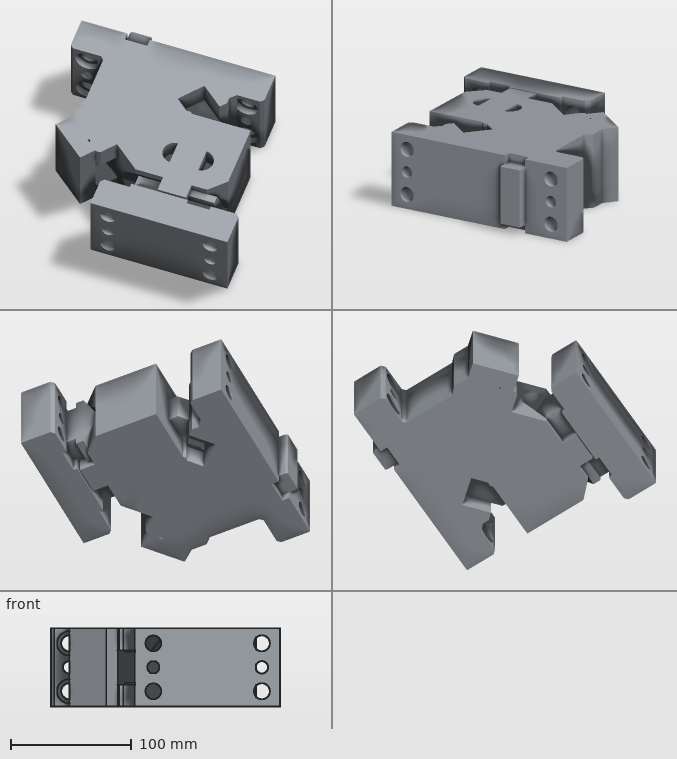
import cadquery as cq
import math

DEPTH = 65.0
TOTAL_X = 190.0
TOTAL_Y = 182.5

SLIDE_ANGLE = math.radians(50)
SLIDE_FOOT_X = 70.3
SLIDE_FOOT_Y = 64.5

HOLE_INSET = 15.2
BOLT_SPACING = 39.7
BOLT_HOLE = 13.1
DOWEL_HOLE = 10.0

BASE_LENGTH = 120.3
BASE_LEFT = TOTAL_X - BASE_LENGTH
BASE_LOW_TOP = 26.6
BASE_TOP = 30.0
BASE_CHAMFER = 2.8
BLIND_BOLT_DEPTH = 22.8

RAIL_LEFT = 94.8
RAIL_RIGHT = 165.0
RAIL_SEAT_LEFT = 144.8
RAIL_NECK = 39.5
RAIL_HEAD = 52.0
RAIL_RIDGE = 8.4
HEAD_BOTTOM = 38.8
HEAD_SHOULDER = 45.5
RIDGE_TOP = 57.0

SLIDER_RIGHT = 169.9
SLIDER_BACK = 114.5
SLIDER_FRONT = 45.2
SLIDER_CHAMFER = 13.7
SLIDER_PEAK = 116.3
SLIDER_END = 69.4
TAB_LEFT = 117.5
TAB_RIGHT = 142.5
TAB_BOTTOM = 31.7

GROOVE_NECK = 41.0
GROOVE_HEAD = 53.5
GROOVE_RIDGE = 10.3
GROOVE_SHOULDER = 45.0
GROOVE_ROOF = 58.9

POCKET_RADIUS = 10.3
POCKET_Y = 72.0
POCKET_CENTRE_INSET = 0.8
POCKET_DEPTH = 15.2

TONGUE_HEAD = 28.5
TONGUE_NECK = 25.5
TONGUE_HEAD_START = 11.5
TONGUE_DEPTH = 19.8
SLOT_CLEARANCE = 5.7

HOLDER_RIGHT = 170.2
HOLDER_BACK = 174.6
FLANGE_FRONT = 145.2
FLANGE_CHAMFER = 2.8
HOLDER_WAIST = 30.4
HOLDER_FOOT = 24.7
FOOT_TOP = 91.4
FOOT_BOTTOM = 77.7
WEB_RIGHT = 142.0
WEB_CHAMFER = 5.1
WEB_BOTTOM = 134.3
WEB_OVERHANG = 9.7
COUNTERBORE = 20.1
COUNTERBORE_DEPTH = 5.7

SLIDE_START = -16.0
STEP_ALONG = -18.5
GUIDE_END = 67.0
STOP_START = 74.9
STOP_END = 92.7
FOOT_END = -33.5
WEAR_FACE_DEPTH = 3.8
FOOT_DEPTH = 43.5
STEP_DEPTH = 2.0
NOTCH_DEPTH = 15.0
STOP_RIGHT = 145.0
STOP_CORNER_Y = 122.7
STOP_WIDTH = 25.5

KEY_LEFT = 40.3
KEY_RIGHT = 60.0
KEY_FRONT = 168.2
KEY_WIDTH = 50.2
KEY_CHAMFER_X = 0.8
KEY_CHAMFER_Y = 2.5

RELIEF = [(45.0, 61.4), (48.0, 61.4), (48.0, 58.5)]


def slide_point(along, depth):
    """XY point at a distance along the sliding plane and a depth into the holder."""
    c, s = math.cos(SLIDE_ANGLE), math.sin(SLIDE_ANGLE)
    return (SLIDE_FOOT_X + along * c - depth * s, SLIDE_FOOT_Y + along * s + depth * c)


def end_x_at(along, y):
    """X where the line square to the sliding plane at this distance reaches height y."""
    x0, y0 = slide_point(along, 0)
    return x0 - (y - y0) * math.tan(SLIDE_ANGLE)


def slide_x_at(y):
    """X of the sliding plane at height y."""
    return SLIDE_FOOT_X + (y - SLIDE_FOOT_Y) / math.tan(SLIDE_ANGLE)


def slab(outline, width=DEPTH):
    """XY outline extruded symmetrically about Z = 0."""
    return cq.Workplane("XY").polyline(outline).close().extrude(width / 2, both=True)


def guide_block(start, end, shallow, deep, width):
    """Block aligned with the sliding plane, between two depths into the holder."""
    corners = [(start, shallow), (end, shallow), (end, deep), (start, deep)]
    return slab([slide_point(along, depth) for along, depth in corners], width)


def rail_profile(bottom, neck, lip, head, shoulder, ridge, top, left, right):
    """T rail with a roof-shaped head, along X from left to right."""
    half = [(bottom, neck / 2), (lip, neck / 2), (lip, head / 2), (shoulder, head / 2), (top, ridge / 2)]
    outline = half + [(y, -z) for y, z in reversed(half)]
    return cq.Workplane("YZ", origin=(left, 0, 0)).polyline(outline).close().extrude(right - left)


def bore(x, z, diameter, start, length):
    """Cylinder along +Y."""
    plane = cq.Plane(origin=(x, start, z), xDir=(1, 0, 0), normal=(0, 1, 0))
    return cq.Workplane(plane).circle(diameter / 2).extrude(length)


def make_base():
    plate = slab([
        (BASE_LEFT, 0),
        (TOTAL_X, 0),
        (TOTAL_X, BASE_TOP - BASE_CHAMFER),
        (TOTAL_X - BASE_CHAMFER, BASE_TOP),
        (RAIL_RIGHT, BASE_TOP),
        (RAIL_RIGHT, BASE_LOW_TOP),
        (RAIL_SEAT_LEFT, BASE_LOW_TOP),
        (RAIL_SEAT_LEFT, BASE_TOP),
        (RAIL_LEFT, BASE_TOP),
        (RAIL_LEFT, BASE_LOW_TOP),
        (BASE_LEFT + BASE_CHAMFER, BASE_LOW_TOP),
        (BASE_LEFT, BASE_LOW_TOP - BASE_CHAMFER),
    ])
    rail = rail_profile(BASE_LOW_TOP, RAIL_NECK, HEAD_BOTTOM, RAIL_HEAD, HEAD_SHOULDER,
                        RAIL_RIDGE, RIDGE_TOP, RAIL_LEFT, RAIL_RIGHT)
    for side in (-1, 1):
        trim = cq.Workplane("XY").box(TAB_LEFT - RAIL_LEFT, RIDGE_TOP - HEAD_BOTTOM, DEPTH,
                                      centered=(False, False, True))
        rail = rail.cut(trim.translate((RAIL_LEFT, HEAD_BOTTOM, side * (RAIL_NECK + DEPTH) / 2)))
    base = plate.union(rail)

    left_row = BASE_LEFT + HOLE_INSET
    right_row = TOTAL_X - HOLE_INSET
    for x in (left_row, right_row):
        base = base.cut(bore(x, 0, DOWEL_HOLE, 0, BASE_TOP))
        base = base.cut(bore(x, BOLT_SPACING / 2, BOLT_HOLE, 0, BASE_TOP))
    base = base.cut(bore(right_row, -BOLT_SPACING / 2, BOLT_HOLE, 0, BASE_TOP))
    return base.cut(bore(left_row, -BOLT_SPACING / 2, BOLT_HOLE, 0, BLIND_BOLT_DEPTH))


def make_slider():
    body = slab([
        slide_point(0, 0),
        (slide_x_at(SLIDER_PEAK), SLIDER_PEAK),
        (end_x_at(SLIDER_END, SLIDER_PEAK), SLIDER_PEAK),
        (end_x_at(SLIDER_END, SLIDER_BACK), SLIDER_BACK),
        (SLIDER_RIGHT, SLIDER_BACK),
        (SLIDER_RIGHT, SLIDER_FRONT + SLIDER_CHAMFER),
        (SLIDER_RIGHT - SLIDER_CHAMFER, SLIDER_FRONT),
        (TAB_RIGHT, SLIDER_FRONT),
        (TAB_RIGHT, TAB_BOTTOM),
        (TAB_LEFT, TAB_BOTTOM),
        (TAB_LEFT, SLIDER_FRONT),
        (end_x_at(0, SLIDER_FRONT), SLIDER_FRONT),
    ])
    groove = rail_profile(TAB_BOTTOM, GROOVE_NECK, HEAD_BOTTOM, GROOVE_HEAD, GROOVE_SHOULDER,
                          GROOVE_RIDGE, GROOVE_ROOF, 0, TOTAL_X)
    body = body.cut(groove)

    pocket_centres = (TAB_LEFT + POCKET_CENTRE_INSET, TAB_RIGHT - POCKET_CENTRE_INSET)
    bar = cq.Workplane("XY").box(TAB_RIGHT - TAB_LEFT, TOTAL_Y, DEPTH, centered=(False, False, True))
    bar = bar.translate((TAB_LEFT, 0, 0))
    for x in pocket_centres:
        pocket = (cq.Workplane("XY", origin=(x, POCKET_Y, DEPTH / 2 - POCKET_DEPTH))
                  .circle(POCKET_RADIUS).extrude(POCKET_DEPTH))
        body = body.cut(pocket.cut(bar))

    neck = guide_block(0, SLIDER_END, 0, TONGUE_HEAD_START, TONGUE_NECK)
    head = guide_block(0, SLIDER_END, TONGUE_HEAD_START, TONGUE_DEPTH, TONGUE_HEAD)
    return body.union(neck).union(head)


def make_holder():
    body = slab([
        (0, HOLDER_BACK),
        (HOLDER_RIGHT, HOLDER_BACK),
        (HOLDER_RIGHT, FLANGE_FRONT + FLANGE_CHAMFER),
        (HOLDER_RIGHT - FLANGE_CHAMFER, FLANGE_FRONT),
        (WEB_RIGHT + WEB_CHAMFER, FLANGE_FRONT),
        (WEB_RIGHT, FLANGE_FRONT - WEB_CHAMFER),
        (WEB_RIGHT, WEB_BOTTOM),
        slide_point(STOP_END, -WEB_OVERHANG),
        slide_point(STOP_END, NOTCH_DEPTH),
        slide_point(GUIDE_END, NOTCH_DEPTH),
        slide_point(GUIDE_END, 0),
        slide_point(SLIDE_START, 0),
        slide_point(STEP_ALONG, STEP_DEPTH),
        slide_point(STEP_ALONG, WEAR_FACE_DEPTH),
        slide_point(FOOT_END, WEAR_FACE_DEPTH),
        slide_point(FOOT_END, FOOT_DEPTH),
        (HOLDER_FOOT, FOOT_BOTTOM),
        (HOLDER_FOOT, FOOT_TOP),
        (HOLDER_WAIST, FOOT_TOP + HOLDER_WAIST - HOLDER_FOOT),
        (HOLDER_WAIST, FLANGE_FRONT - FLANGE_CHAMFER),
        (HOLDER_WAIST - FLANGE_CHAMFER, FLANGE_FRONT),
        (FLANGE_CHAMFER, FLANGE_FRONT),
        (0, FLANGE_FRONT + FLANGE_CHAMFER),
    ])
    body = body.cut(guide_block(STEP_ALONG, SLIDER_END, -SLOT_CLEARANCE, TONGUE_DEPTH, TONGUE_HEAD))
    body = body.cut(slab(RELIEF))

    stop = slab([
        slide_point(STOP_START, NOTCH_DEPTH),
        slide_point(STOP_END, NOTCH_DEPTH),
        (STOP_RIGHT, STOP_CORNER_Y),
        (STOP_RIGHT, SLIDER_BACK),
        (end_x_at(STOP_START, SLIDER_BACK), SLIDER_BACK),
    ], STOP_WIDTH)
    body = body.union(stop)

    keyway = slab([(KEY_LEFT, KEY_FRONT), (KEY_RIGHT, KEY_FRONT), (KEY_RIGHT, TOTAL_Y), (KEY_LEFT, TOTAL_Y)])
    key = slab([
        (KEY_LEFT, KEY_FRONT),
        (KEY_RIGHT, KEY_FRONT),
        (KEY_RIGHT, TOTAL_Y - KEY_CHAMFER_Y),
        (KEY_RIGHT - KEY_CHAMFER_X, TOTAL_Y),
        (KEY_LEFT + KEY_CHAMFER_X, TOTAL_Y),
        (KEY_LEFT, TOTAL_Y - KEY_CHAMFER_Y),
    ], KEY_WIDTH)
    body = body.cut(keyway).union(key)

    thickness = HOLDER_BACK - FLANGE_FRONT
    for x in (HOLE_INSET, HOLDER_RIGHT - HOLE_INSET):
        body = body.cut(bore(x, 0, DOWEL_HOLE, FLANGE_FRONT, thickness))
        for z in (-BOLT_SPACING / 2, BOLT_SPACING / 2):
            body = body.cut(bore(x, z, BOLT_HOLE, FLANGE_FRONT, thickness))
            body = body.cut(bore(x, z, COUNTERBORE, FLANGE_FRONT, COUNTERBORE_DEPTH))
    return body


base = make_base()
slider = make_slider()
holder = make_holder()

result = cq.Compound.makeCompound([base.solids().val(), slider.solids().val(), holder.solids().val()])